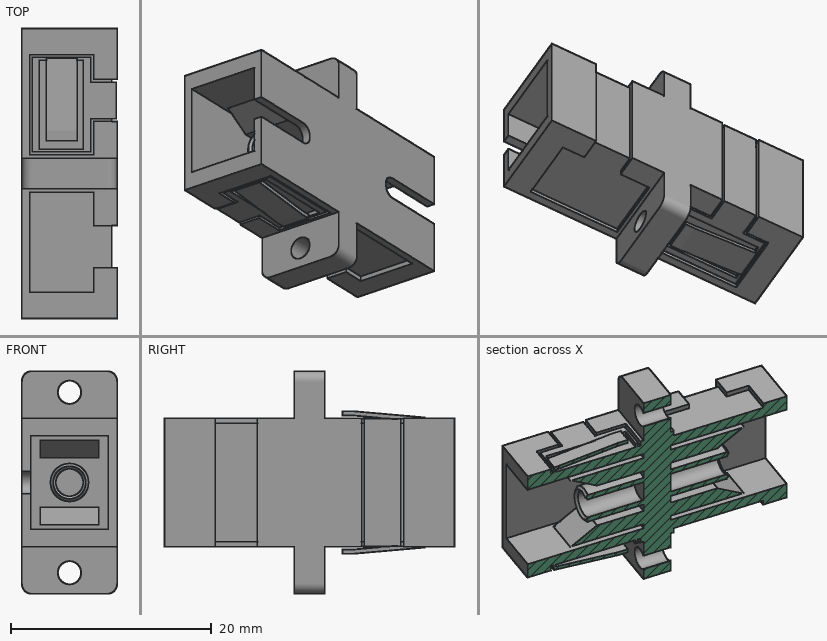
import cadquery as cq
import math


BODY_WIDTH = 9.53
BODY_LENGTH = 28.96
BODY_HEIGHT = 12.83
FLANGE_HEIGHT = 22.23
FLANGE_THICKNESS = 3.05
FLANGE_CORNER_RADIUS = 1.02
MOUNT_HOLE_DIAMETER = 2.3
MOUNT_HOLE_SPACING = 18.0

PORT_WIDTH = 7.75
PORT_HEIGHT = 9.33
PARTITION_THICKNESS = FLANGE_THICKNESS
PORT_DEPTH = (BODY_LENGTH - PARTITION_THICKNESS) / 2
SIDE_WALL = (BODY_WIDTH - PORT_WIDTH) / 2
KEYWAY_HEIGHT = 2.2
KEYWAY_LENGTH = 8.13

SLEEVE_DIAMETER = 3.8
SLEEVE_BORE = 2.72
SLEEVE_RECESS = 6.46

LATCH_WIDTH = 5.87
LATCH_INNER_Z = 2.48
LATCH_OUTER_Z = 4.2
LATCH_RECESS = 4.78
LATCH_RAMP_ANGLE = 30.0

SEAT_DEPTH = 0.53
SEAT_X_MIN = -3.98
SEAT_X_MAX = 2.41
SEAT_Y_MIN = 1.88
SEAT_Y_MAX = 11.85
CHANNEL_Y_MIN = 5.19
CHANNEL_Y_MAX = 9.38

CLIP_THICKNESS = 0.45
CLIP_CLEARANCE = 0.27
WINDOW_X_MIN = -3.02
WINDOW_X_MAX = 1.37
WINDOW_END_MARGIN = 0.27
TONGUE_X_MIN = -2.31
TONGUE_WIDTH = 3.07
TONGUE_ROOT_Y = 11.51
TONGUE_BEND_Y = 4.31
TONGUE_TIP_Y = 3.28
TONGUE_ANGLE = 5.0
TONGUE_ROOT_LIFT = 0.08

HALF_WIDTH = BODY_WIDTH / 2
HALF_LENGTH = BODY_LENGTH / 2
HALF_HEIGHT = BODY_HEIGHT / 2


def box_between(x_min, x_max, y_min, y_max, z_min, z_max):
    """Box given by its limits along each axis."""
    return cq.Workplane("XY").box(
        x_max - x_min, y_max - y_min, z_max - z_min, centered=False
    ).translate((x_min, y_min, z_min))


def with_mirror(solid, plane):
    """The solid together with its reflection in a plane through the origin."""
    return solid.union(solid.mirror(plane))


def make_housing():
    """Rectangular housing crossed by the mounting flange with its two screw holes."""
    flange = cq.Workplane("XY").box(BODY_WIDTH, FLANGE_THICKNESS, FLANGE_HEIGHT)
    flange = flange.edges("|Y").fillet(FLANGE_CORNER_RADIUS)
    holes = (
        cq.Workplane("XZ")
        .pushPoints([(0, -MOUNT_HOLE_SPACING / 2), (0, MOUNT_HOLE_SPACING / 2)])
        .circle(MOUNT_HOLE_DIAMETER / 2)
        .extrude(FLANGE_THICKNESS, both=True)
    )
    body = cq.Workplane("XY").box(BODY_WIDTH, BODY_LENGTH, BODY_HEIGHT)
    return body.union(flange.cut(holes))


def make_port_cavity():
    """Front port opening plus the round-ended keyway through the -X wall."""
    cavity = box_between(
        -PORT_WIDTH / 2, PORT_WIDTH / 2,
        -HALF_LENGTH, -HALF_LENGTH + PORT_DEPTH,
        -PORT_HEIGHT / 2, PORT_HEIGHT / 2,
    )
    radius = KEYWAY_HEIGHT / 2
    keyway_end = -HALF_LENGTH + KEYWAY_LENGTH
    keyway = (
        cq.Workplane("YZ", origin=(-HALF_WIDTH, 0, 0))
        .moveTo(-HALF_LENGTH, -radius)
        .lineTo(keyway_end - radius, -radius)
        .threePointArc((keyway_end, 0), (keyway_end - radius, radius))
        .lineTo(-HALF_LENGTH, radius)
        .close()
        .extrude(SIDE_WALL)
    )
    return cavity.union(keyway)


def make_sleeve():
    """Ferrule tube reaching forward from the partition to a sharp chamfered rim, revolved about Y."""
    tip = -HALF_LENGTH + SLEEVE_RECESS
    root = -PARTITION_THICKNESS / 2
    outer = SLEEVE_DIAMETER / 2
    inner = SLEEVE_BORE / 2
    rim = (outer + inner) / 2
    chamfer = outer - rim
    return (
        cq.Workplane("XY")
        .moveTo(inner, root)
        .lineTo(inner, tip + chamfer)
        .lineTo(rim, tip)
        .lineTo(outer, tip + chamfer)
        .lineTo(outer, root)
        .close()
        .revolve(360, (0, 0, 0), (0, 1, 0))
    )


def make_latch_arms():
    """Upper and lower latch arms of the front port, each with a ramped tip."""
    tip = -HALF_LENGTH + LATCH_RECESS
    root = -PARTITION_THICKNESS / 2
    ramp_length = (LATCH_OUTER_Z - LATCH_INNER_Z) / math.tan(math.radians(LATCH_RAMP_ANGLE))
    upper_arm = (
        cq.Workplane("YZ")
        .moveTo(tip, LATCH_OUTER_Z)
        .lineTo(root, LATCH_OUTER_Z)
        .lineTo(root, LATCH_INNER_Z)
        .lineTo(tip + ramp_length, LATCH_INNER_Z)
        .close()
        .extrude(LATCH_WIDTH / 2, both=True)
    )
    return with_mirror(upper_arm, "XY")


def make_clip_seat():
    """Volume removed for the rear clip: top and bottom pockets and the +X side channel."""
    floor = HALF_HEIGHT - SEAT_DEPTH
    pocket = box_between(SEAT_X_MIN, SEAT_X_MAX, SEAT_Y_MIN, SEAT_Y_MAX, floor, HALF_HEIGHT)
    neck = box_between(SEAT_X_MAX, HALF_WIDTH, CHANNEL_Y_MIN, CHANNEL_Y_MAX, floor, HALF_HEIGHT)
    channel = box_between(
        HALF_WIDTH - SEAT_DEPTH, HALF_WIDTH,
        CHANNEL_Y_MIN, CHANNEL_Y_MAX,
        -HALF_HEIGHT, HALF_HEIGHT,
    )
    return with_mirror(pocket.union(neck), "XY").union(channel)


def make_tongue():
    """Spring tongue rising from the rear of the upper clip plate to a flat tip."""
    slope = math.radians(TONGUE_ANGLE)
    root_z = HALF_HEIGHT + TONGUE_ROOT_LIFT
    tip_z = root_z + (TONGUE_ROOT_Y - TONGUE_BEND_Y) * math.tan(slope)
    lower_bend_y = TONGUE_BEND_Y + CLIP_THICKNESS * math.tan(slope / 2)
    return (
        cq.Workplane("YZ", origin=(TONGUE_X_MIN, 0, 0))
        .moveTo(TONGUE_ROOT_Y, root_z)
        .lineTo(TONGUE_BEND_Y, tip_z)
        .lineTo(TONGUE_TIP_Y, tip_z)
        .lineTo(TONGUE_TIP_Y, tip_z - CLIP_THICKNESS)
        .lineTo(lower_bend_y, tip_z - CLIP_THICKNESS)
        .lineTo(
            TONGUE_ROOT_Y - CLIP_THICKNESS * math.sin(slope),
            root_z - CLIP_THICKNESS * math.cos(slope),
        )
        .close()
        .extrude(TONGUE_WIDTH)
    )


def make_clip():
    """U-shaped sheet clip: windowed plates above and below, joined by a band on the +X side."""
    plate_bottom = HALF_HEIGHT - SEAT_DEPTH
    plate_top = plate_bottom + CLIP_THICKNESS
    plate_y_min = SEAT_Y_MIN + CLIP_CLEARANCE
    plate_y_max = SEAT_Y_MAX - CLIP_CLEARANCE
    plate_x_max = SEAT_X_MAX - CLIP_CLEARANCE
    band_y_min = CHANNEL_Y_MIN + CLIP_CLEARANCE
    band_y_max = CHANNEL_Y_MAX - CLIP_CLEARANCE
    band_x_min = HALF_WIDTH - SEAT_DEPTH
    band_x_max = band_x_min + CLIP_THICKNESS

    plate = box_between(
        SEAT_X_MIN + CLIP_CLEARANCE, plate_x_max, plate_y_min, plate_y_max, plate_bottom, plate_top
    )
    neck = box_between(plate_x_max, band_x_max, band_y_min, band_y_max, plate_bottom, plate_top)
    window = box_between(
        WINDOW_X_MIN, WINDOW_X_MAX,
        plate_y_min + WINDOW_END_MARGIN, plate_y_max - WINDOW_END_MARGIN,
        plate_bottom, plate_top,
    )
    upper_plate = plate.cut(window).union(neck).union(make_tongue())
    band = box_between(band_x_min, band_x_max, band_y_min, band_y_max, -plate_top, plate_top)
    return with_mirror(upper_plate, "XY").union(band)


housing = make_housing()
housing = housing.cut(with_mirror(make_clip_seat(), "XZ"))
housing = housing.cut(with_mirror(make_port_cavity(), "XZ"))

port_fittings = make_sleeve().union(make_latch_arms())
result = housing.union(with_mirror(port_fittings, "XZ")).union(make_clip())